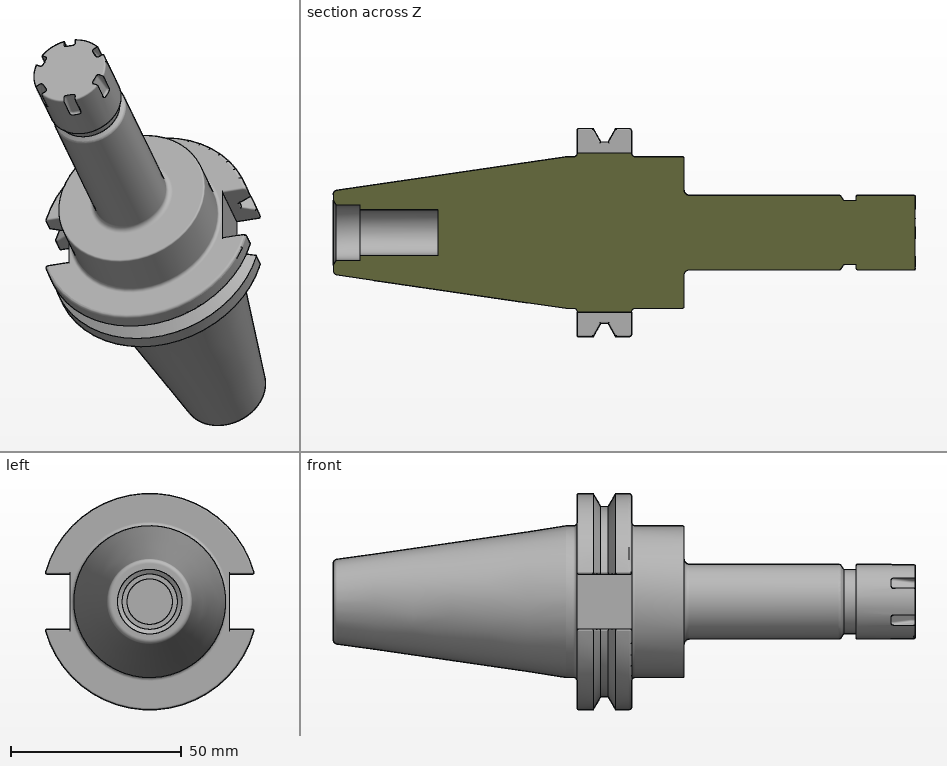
import cadquery as cq
import math

LENGTH = 170.5
TOLERANCE = 0.02

GAUGE_X = 68.2
GAUGE_DIAMETER = 44.5
TAPER_RATIO = 7 / 24
TAPER_END_FILLET = 1.4
SMALL_END_RADIUS = (GAUGE_DIAMETER - GAUGE_X * TAPER_RATIO) / 2

FLANGE_X = 71.5
FLANGE_WIDTH = 16.0
FLANGE_END_X = FLANGE_X + FLANGE_WIDTH
FLANGE_DIAMETER = 63.5
FLANGE_BODY_SIDE_FILLET = 0.9
FLANGE_TAPER_SIDE_FILLET = 0.5
FLANGE_ROOT_FILLET = 1.0
GROOVE_CENTER_X = 79.5
GROOVE_BOTTOM_DIAMETER = 56.0
GROOVE_BOTTOM_WIDTH = 2.2
GROOVE_FLANK_ANGLE = 30
DRIVE_SLOT_WIDTH = 16.0
DRIVE_SLOT_FLOOR_Y = 23.4
DRIVE_SLOT_FILLET = 0.5

BODY_END_X = 102.8
BODY_DIAMETER = GAUGE_DIAMETER
BODY_EDGE_FILLET = 0.5
STEM_END_X = 149.5
STEM_DIAMETER = 22.0
STEM_ROOT_FILLET = 1.5
NECK_DIAMETER = 19.0
STEM_CONE_LENGTH = 1.0
STEM_CONE_FILLET = 0.9

NUT_X = 153.2
NUT_DIAMETER = STEM_DIAMETER
NUT_EDGE_FILLET = 0.5
NUT_SLOT_COUNT = 6
NUT_SLOT_WIDTH = 3.4
NUT_SLOT_LENGTH = 7.2
NUT_SLOT_FRONT_DEPTH = 2.2
NUT_SLOT_BACK_DEPTH = 0.7
NUT_SLOT_LEVEL_LENGTH = 1.0
NUT_SLOT_CORNER = 0.9
NUT_SLOT_FLOOR_FILLET = 0.7

BORE_DIAMETER = 16.2
BORE_DEPTH = 7.8
BORE_MOUTH_DIAMETER = 19.0
BORE_MOUTH_DEPTH = 0.9
THREAD_DIAMETER = 13.3
THREAD_DEPTH = 30.7


def turned(points):
    """Solid of revolution about X from (x, radius) points, closed along the axis."""
    first_x = points[0][0]
    last_x = points[-1][0]
    outline = [(first_x, 0)] + points + [(last_x, 0)]
    return cq.Workplane("XY").polyline(outline).close().revolve(360, (0, 0, 0), (1, 0, 0))


def ring_edge(part, x, diameter):
    """Circular edge of the given diameter about the axis at position x."""
    def matches(edge):
        same_x = abs(edge.Center().x - x) < TOLERANCE
        return same_x and abs(edge.radius() - diameter / 2) < TOLERANCE

    return part.edges("%CIRCLE").filter(matches)


def turned_body():
    flange_radius = FLANGE_DIAMETER / 2
    groove_radius = GROOVE_BOTTOM_DIAMETER / 2
    flank_run = (flange_radius - groove_radius) * math.tan(math.radians(GROOVE_FLANK_ANGLE))
    half_bottom = GROOVE_BOTTOM_WIDTH / 2
    half_top = half_bottom + flank_run
    body = turned([
        (0, SMALL_END_RADIUS),
        (GAUGE_X, GAUGE_DIAMETER / 2),
        (FLANGE_X, GAUGE_DIAMETER / 2),
        (FLANGE_X, flange_radius),
        (GROOVE_CENTER_X - half_top, flange_radius),
        (GROOVE_CENTER_X - half_bottom, groove_radius),
        (GROOVE_CENTER_X + half_bottom, groove_radius),
        (GROOVE_CENTER_X + half_top, flange_radius),
        (FLANGE_END_X, flange_radius),
        (FLANGE_END_X, BODY_DIAMETER / 2),
        (BODY_END_X, BODY_DIAMETER / 2),
        (BODY_END_X, STEM_DIAMETER / 2),
        (STEM_END_X - STEM_CONE_LENGTH, STEM_DIAMETER / 2),
        (STEM_END_X, NECK_DIAMETER / 2),
        (NUT_X, NECK_DIAMETER / 2),
        (NUT_X, NUT_DIAMETER / 2),
        (LENGTH, NUT_DIAMETER / 2),
    ])
    body = ring_edge(body, 0, 2 * SMALL_END_RADIUS).fillet(TAPER_END_FILLET)
    body = ring_edge(body, FLANGE_X, GAUGE_DIAMETER).fillet(FLANGE_ROOT_FILLET)
    body = ring_edge(body, FLANGE_END_X, BODY_DIAMETER).fillet(FLANGE_ROOT_FILLET)
    body = ring_edge(body, FLANGE_X, FLANGE_DIAMETER).fillet(FLANGE_TAPER_SIDE_FILLET)
    body = ring_edge(body, FLANGE_END_X, FLANGE_DIAMETER).fillet(FLANGE_BODY_SIDE_FILLET)
    body = ring_edge(body, BODY_END_X, BODY_DIAMETER).fillet(BODY_EDGE_FILLET)
    body = ring_edge(body, BODY_END_X, STEM_DIAMETER).fillet(STEM_ROOT_FILLET)
    body = ring_edge(body, STEM_END_X - STEM_CONE_LENGTH, STEM_DIAMETER).fillet(STEM_CONE_FILLET)
    body = ring_edge(body, NUT_X, NUT_DIAMETER).fillet(NUT_EDGE_FILLET)
    return ring_edge(body, LENGTH, NUT_DIAMETER).fillet(NUT_EDGE_FILLET)


def stepped_bore():
    return turned([
        (0, BORE_MOUTH_DIAMETER / 2),
        (BORE_MOUTH_DEPTH, BORE_DIAMETER / 2),
        (BORE_DEPTH, BORE_DIAMETER / 2),
        (BORE_DEPTH, THREAD_DIAMETER / 2),
        (THREAD_DEPTH, THREAD_DIAMETER / 2),
    ])


def drive_slot(side):
    """Slot across the flange, open towards +Y (side = 1) or -Y (side = -1)."""
    depth = FLANGE_DIAMETER / 2
    return (
        cq.Workplane("XY")
        .box(FLANGE_WIDTH, depth, DRIVE_SLOT_WIDTH, centered=(False, True, True))
        .translate((FLANGE_X, side * (DRIVE_SLOT_FLOOR_Y + depth / 2), 0))
    )


def round_drive_slots(part):
    """Round the free edges of the drive slot walls, leaving the floor corners sharp."""
    def is_wall(face):
        at_wall = abs(abs(face.Center().z) - DRIVE_SLOT_WIDTH / 2) < TOLERANCE
        return at_wall and abs(face.Center().y) > DRIVE_SLOT_FLOOR_Y

    def is_free(edge):
        return abs(edge.Center().y) > DRIVE_SLOT_FLOOR_Y + TOLERANCE

    return part.faces("|Z").filter(is_wall).edges().filter(is_free).fillet(DRIVE_SLOT_FILLET)


def nut_slot(angle):
    """Spanner slot in the nut rim, turned by angle about the axis from +Z.

    Its floor falls from the closed end and runs level for the last stretch.
    """
    rim_radius = NUT_DIAMETER / 2
    back_x = LENGTH - NUT_SLOT_LENGTH
    front_floor = rim_radius - NUT_SLOT_FRONT_DEPTH
    cutter = (
        cq.Workplane("XZ")
        .moveTo(back_x, rim_radius + NUT_SLOT_FRONT_DEPTH)
        .lineTo(back_x, rim_radius - NUT_SLOT_BACK_DEPTH)
        .lineTo(LENGTH - NUT_SLOT_LEVEL_LENGTH, front_floor)
        .lineTo(LENGTH, front_floor)
        .lineTo(LENGTH, rim_radius + NUT_SLOT_FRONT_DEPTH)
        .close()
        .extrude(NUT_SLOT_WIDTH / 2, both=True)
        .edges("<X and |Z")
        .fillet(NUT_SLOT_CORNER)
        .faces("%PLANE")
        .filter(lambda face: face.normalAt().z < -0.5)
        .edges("not |Y")
        .fillet(NUT_SLOT_FLOOR_FILLET)
    )
    return cutter.rotate((0, 0, 0), (1, 0, 0), angle)


result = turned_body().cut(stepped_bore())
for side in (1, -1):
    result = result.cut(drive_slot(side))
result = round_drive_slots(result)
for index in range(NUT_SLOT_COUNT):
    result = result.cut(nut_slot(index * 360 / NUT_SLOT_COUNT))